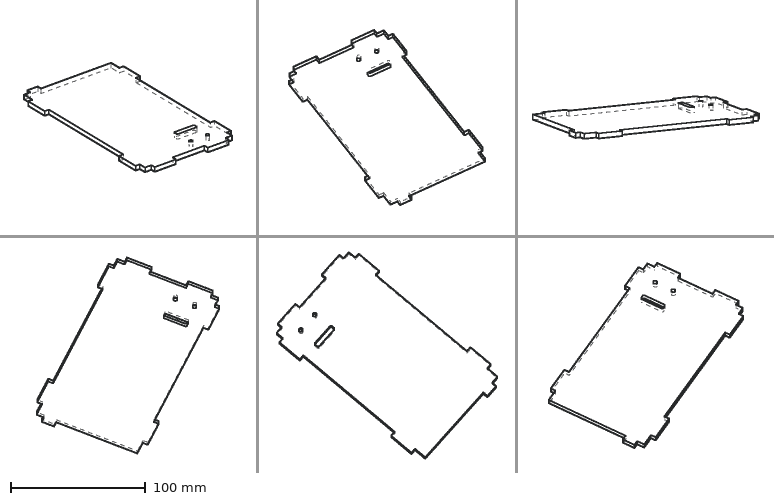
import cadquery as cq

overall_length = 154.0
overall_width = 90.0
thickness = 4.0

tab_depth = thickness
long_tab = 20.0
short_tab = long_tab / 2
left_margin = 10.0
right_margin = 6.3
end_margin = 6.0

slot_width = 4.0
slot_length = 19.0
slot_corner_radius = 1.0
slot_inset = 28.6
hole_diameter = 3.0
hole_inset = 12.2
hole_spacing = 15.5
opening_drop = 21.4

body_length = overall_length - 2 * tab_depth
body_width = overall_width - 2 * tab_depth
half_length = body_length / 2
half_width = body_width / 2
opening_y = half_width - opening_drop


def block(x_min, y_min, length, width):
    """Plate-thick rectangular block placed by its lower-left corner."""
    return cq.Workplane("XY").box(length, width, thickness, centered=False).translate((x_min, y_min, 0))


plate = block(-half_length, -half_width, body_length, body_width)

first_tab_x = -half_length + left_margin
last_tab_x = half_length - right_margin - long_tab
for tab_x in (first_tab_x, last_tab_x):
    for tab_y in (-half_width - tab_depth, half_width):
        plate = plate.union(block(tab_x, tab_y, long_tab, tab_depth))

lower_tab_y = -half_width + end_margin
upper_tab_y = half_width - end_margin - long_tab
for tab_y in (lower_tab_y, upper_tab_y):
    plate = plate.union(block(half_length, tab_y, tab_depth, long_tab))
plate = plate.union(block(-half_length - tab_depth, lower_tab_y, tab_depth, short_tab))

slot = block(
    half_length - slot_inset - slot_width / 2,
    opening_y - slot_length / 2,
    slot_width,
    slot_length,
).edges("|Z").fillet(slot_corner_radius)

holes = (
    cq.Workplane("XY")
    .center(half_length - hole_inset, opening_y)
    .rarray(1.5, hole_spacing, 1, 2)
    .circle(hole_diameter / 2)
    .extrude(thickness)
)

result = plate.cut(slot).cut(holes)